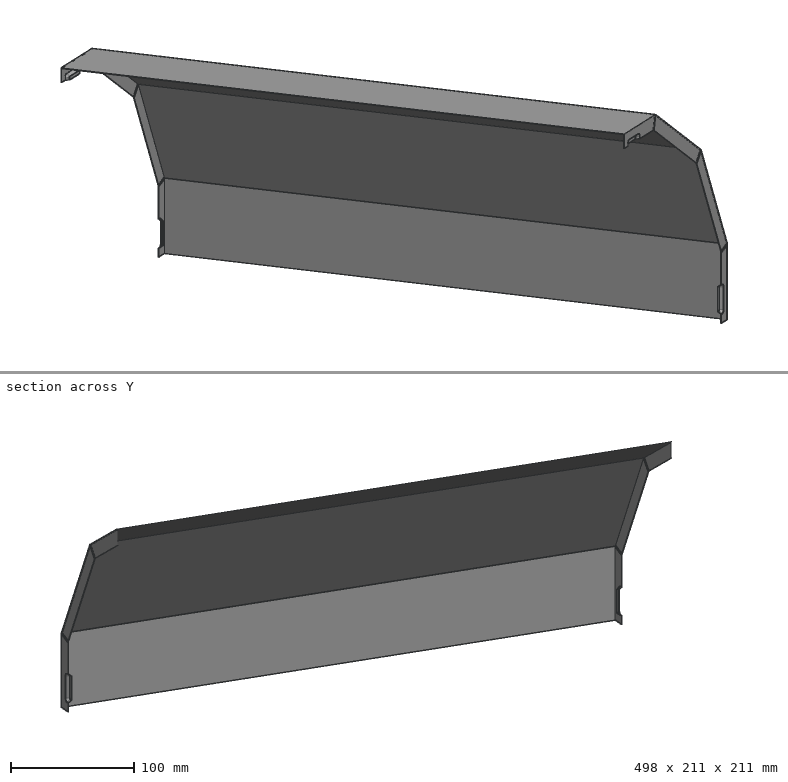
import cadquery as cq
import math

length = 498.0
span = 211.0
sheet = 0.75

end_strip = 63.5
fold_angle = math.radians(30)
half_fold = fold_angle / 2
slope_strip = (span - end_strip) / (math.cos(fold_angle) + math.sin(fold_angle))

flange_depth = 12.5
slit_width = 1.75

pad_length = 25.0
pad_height = 5.0
pad_offset = 3.0
pad_position = 20.0
pad_corner = 3.0
pad_draft = 35

end_face = -length / 2
flange_edge = span - flange_depth


def section_corners(inset):
    """(Y, Z) corners of the folded section, inset from the outer skin."""
    fold_y = end_strip - inset * math.tan(half_fold)
    fold_z = span - inset
    middle = end_strip + slope_strip * math.cos(fold_angle) - inset / math.cos(half_fold) / math.sqrt(2)
    return [(0, fold_z), (fold_y, fold_z), (middle, middle), (fold_z, fold_y), (fold_z, 0)]


def band(outer_inset, inner_inset, width):
    """Folded band between two insets, centred along X."""
    corners = section_corners(outer_inset) + section_corners(inner_inset)[::-1]
    return cq.Workplane("YZ").polyline(corners).close().extrude(width / 2, both=True)


def fold_slit(inner_corner, flange_corner):
    """Cutter along a fold's bisector, from the skin's inner face out past the flange edge."""
    along = cq.Vector(0, *flange_corner) - cq.Vector(0, *inner_corner)
    plane = cq.Plane(origin=(0, *inner_corner), xDir=along.toTuple(), normal=(1, 0, 0))
    return (
        cq.Workplane(plane)
        .rect(2 * along.Length, slit_width)
        .extrude(length / 2, both=True)
        .intersect(band(sheet, 2 * flange_depth, length))
    )


def pad_block(base_x):
    """Drafted block rising along +X from base_x, straddling the flat strip's flange edge."""
    return (
        cq.Workplane("YZ", origin=(base_x, pad_position, flange_edge))
        .sketch()
        .rect(pad_length, 2 * pad_height)
        .vertices()
        .fillet(pad_corner)
        .finalize()
        .extrude(pad_offset, taper=pad_draft)
    )


def on_all_flanges(shape):
    """Copy a shape from the flat strip's -X flange to all four end strip flanges."""
    both_ends = shape.union(shape.mirror("YZ"))
    return both_ends.union(both_ends.rotate((0, 0, 0), (0, 1, 1), 180))


hollow = band(sheet, 2 * flange_depth, length - 2 * sheet)
shell = band(0, flange_depth, length).cut(hollow)
fold_lines = list(zip(section_corners(sheet), section_corners(flange_depth)))[1:-1]
for inner_corner, flange_corner in fold_lines:
    shell = shell.cut(fold_slit(inner_corner, flange_corner))

above_flange_edge = (
    cq.Workplane("XY", origin=(0, 0, flange_edge))
    .rect(length, 2 * span)
    .extrude(flange_depth)
)
pads = on_all_flanges(pad_block(end_face + sheet).intersect(above_flange_edge))
recesses = on_all_flanges(pad_block(end_face))

result = shell.union(pads).cut(recesses)